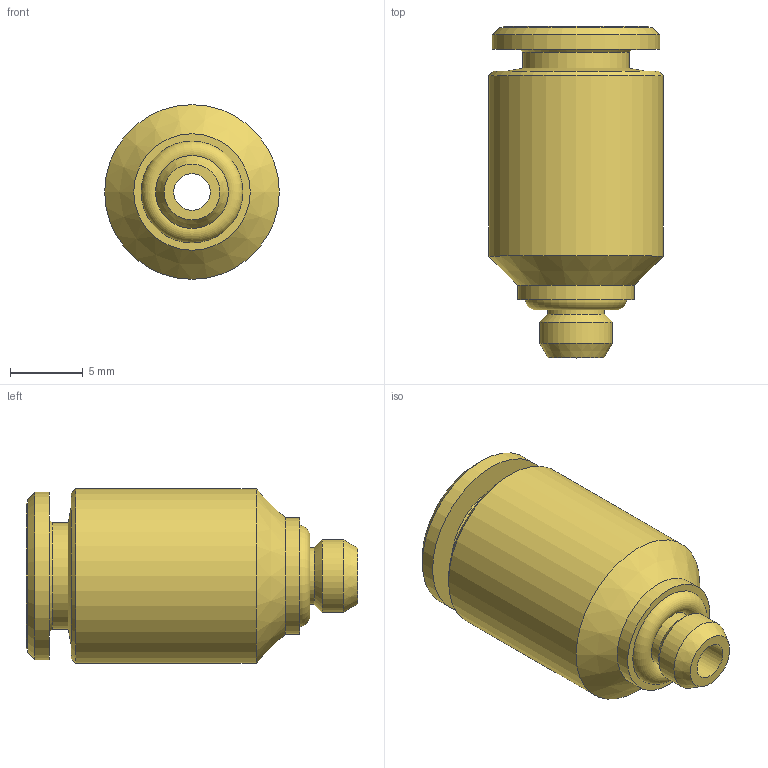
import cadquery as cq
import math

total_length = 22.8

bore_diameter = 2.5
plug_diameter = 5.0
neck_diameter = 3.9
tip_taper_length = 1.0
tip_taper_angle = 30.0
plug_length = 3.0

ring_diameter = 7.0
ring_front = 3.3

collar_diameter = 8.0
collar_front = 4.0
collar_length = 1.0
body_diameter = 12.0
body_back = 19.7
body_chamfer = 0.3

crown_base_diameter = 9.6
crown_height = 0.2

sleeve_diameter = 7.3
flange_diameter = 11.5
flange_thickness = 1.5
flange_chamfer = 0.5
sleeve_root_chamfer = 0.2

pad_diameter = 10.0
pad_height = 0.1

plug_radius = plug_diameter / 2
neck_radius = neck_diameter / 2
collar_radius = collar_diameter / 2
body_radius = body_diameter / 2
sleeve_radius = sleeve_diameter / 2
flange_radius = flange_diameter / 2
tip_radius = plug_radius - tip_taper_length * math.tan(math.radians(tip_taper_angle))
plug_shoulder = plug_length - (plug_radius - neck_radius)
collar_back = collar_front + collar_length
shoulder_back = collar_back + (body_radius - collar_radius)
flange_back = total_length - pad_height
flange_front = flange_back - flange_thickness
ring_tube_radius = (ring_diameter / 2 - neck_radius) / 2
ring_path_radius = neck_radius + ring_tube_radius


def revolve_profile(points):
    """Close an outline of (radius, axial position) points and turn it about the Y axis."""
    return cq.Workplane("XY").polyline(points).close().revolve(360, (0, 0), (0, 1))


def make_plug():
    """Tapered plug end with a narrower neck leading to the collar."""
    return revolve_profile([
        (0, 0),
        (tip_radius, 0),
        (plug_radius, tip_taper_length),
        (plug_radius, plug_shoulder),
        (neck_radius, plug_length),
        (neck_radius, collar_front),
        (0, collar_front),
    ])


def make_seal_ring():
    """Round-section ring around the neck, partly sunk into the collar."""
    return (
        cq.Workplane("XY")
        .center(ring_path_radius, ring_front + ring_tube_radius)
        .circle(ring_tube_radius)
        .revolve(360, (-ring_path_radius, 0), (-ring_path_radius, 1))
    )


def make_body():
    """Collar, conical shoulder, cylindrical body and the shallow cone on its back."""
    return revolve_profile([
        (0, collar_front),
        (collar_radius, collar_front),
        (collar_radius, collar_back),
        (body_radius, shoulder_back),
        (body_radius, body_back - body_chamfer),
        (body_radius - body_chamfer, body_back),
        (crown_base_diameter / 2, body_back),
        (sleeve_radius, body_back + crown_height),
        (0, body_back + crown_height),
    ])


def make_release_sleeve():
    """Sleeve leaving the back of the body, ending in a chamfered push flange."""
    return revolve_profile([
        (0, body_back),
        (sleeve_radius, body_back),
        (sleeve_radius, flange_front - sleeve_root_chamfer),
        (sleeve_radius + sleeve_root_chamfer, flange_front),
        (flange_radius, flange_front),
        (flange_radius, flange_back - flange_chamfer),
        (flange_radius - flange_chamfer, flange_back),
        (pad_diameter / 2, flange_back),
        (pad_diameter / 2, total_length),
        (0, total_length),
    ])


def make_bore():
    """Straight flow passage along the whole length."""
    return cq.Workplane("XZ").circle(bore_diameter / 2).extrude(-total_length)


fitting = make_plug().union(make_body()).union(make_seal_ring()).union(make_release_sleeve())
result = fitting.cut(make_bore())